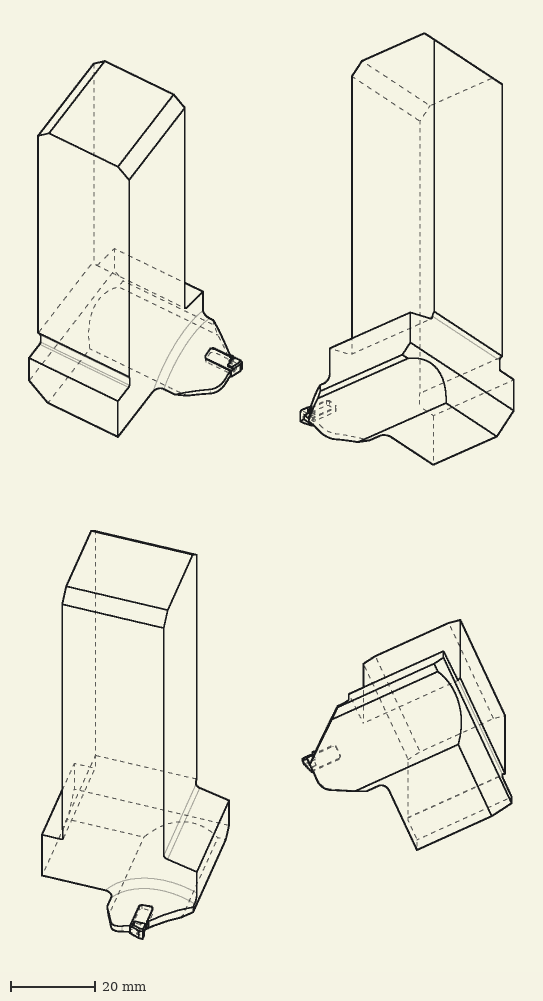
import cadquery as cq
import math


TOTAL_LENGTH = 41.4
TOTAL_WIDTH = 38.77
TOTAL_HEIGHT = 97.79

SHANK = 25.4
SHANK_BOTTOM = 17.8
END_CHAMFER = 3.1

BACK_LENGTH = 8.3
FRONT_LENGTH = TOTAL_WIDTH - SHANK - BACK_LENGTH
HEAD_BACK = SHANK + BACK_LENGTH
HEAD_FRONT = -FRONT_LENGTH
SIDE_STEP = 0.6
FRONT_STEP = 0.2
STEP_FILLET = 1.2
LEDGE_HEIGHT = 14.0
LEDGE_FILLET = 0.4
BACK_EDGE_HEIGHT = 13.7
BACK_SLOPE = 15
BACK_FILLET = 1.2
HEAD_CHAMFER = 5.2

RELIEF_RADIUS = 16.2
RELIEF_Y = 24.9
RELIEF_APEX = 4.2
BACK_CLEARANCE_HEIGHT = 2.75

BLADE_RADIUS = 16.4
BLADE_Y = 25.9
BLADE_APEX = 6.5
BLADE_LENGTH = 14.8
BLADE_FILLET = 1.75
BACK_BEVEL_START = 2.9
BACK_BEVEL_ANGLE = 40.3
FRONT_BEVEL_START = 4.87
FRONT_BEVEL_Y = 12.8
FRONT_BEVEL_ANGLE = 24.4
FRONT_CORNER_RADIUS = 3.7

INSERT_START = 7.5
INSERT_REACH = TOTAL_LENGTH - SHANK
INSERT_FRONT = 21.85
INSERT_BACK = 25.3
INSERT_TOP = 6.25
INSERT_BOTTOM = 5.0
INSERT_CORNER = 0.5
SHOULDER_START = 12.6
SHOULDER_LENGTH = 0.6
SHOULDER_OVERHANG = 0.5
CHIP_GAP_FRONT = 24.0
CHIP_GAP_DEPTH = 0.3
NOSE_START = 13.7
NOSE_TOP = 6.78
NOSE_FRONT_SETBACK = 0.7
TIP_BOTTOM = 3.8
TIP_FRONT_REACH = 15.1
TIP_LAND = 0.9
TIP_BEVEL = 0.4


def box(x, y, z):
    """Box from (low, high) pairs."""
    size = [high - low for low, high in (x, y, z)]
    return cq.Workplane().box(*size, centered=False).translate((x[0], y[0], z[0]))


def make_shank():
    """Square shank, bevelled on the two top edges that run along Y."""
    blank = box((0, SHANK), (0, SHANK), (SHANK_BOTTOM, TOTAL_HEIGHT))
    return blank.faces(">Z").edges("|Y").chamfer(END_CHAMFER)


def step_outline(plane, step):
    """Neck outline: shank width at the top, blending into a wall inset by `step`."""
    turn = math.acos(1 - step / STEP_FILLET)
    blend_height = STEP_FILLET * math.sin(turn)
    blend_middle = (step - STEP_FILLET * (1 - math.cos(turn / 2)),
                    SHANK_BOTTOM - blend_height + STEP_FILLET * math.sin(turn / 2))
    return (cq.Workplane(plane)
            .moveTo(0, SHANK_BOTTOM)
            .lineTo(SHANK, SHANK_BOTTOM)
            .lineTo(SHANK, LEDGE_HEIGHT)
            .lineTo(step, LEDGE_HEIGHT)
            .lineTo(step, SHANK_BOTTOM - blend_height)
            .threePointArc(blend_middle, (0, SHANK_BOTTOM))
            .close())


def make_neck():
    """Short block that carries the -X and -Y steps between shank and head."""
    side = step_outline("XZ", SIDE_STEP).extrude(-SHANK)
    front = step_outline("YZ", FRONT_STEP).extrude(SHANK)
    return side.intersect(front)


def make_head():
    """Head block below the neck, with overhangs in front of and behind the shank."""
    slope = math.radians(BACK_SLOPE)
    slope_top = BACK_EDGE_HEIGHT + BACK_LENGTH * math.tan(slope)
    blend_turn = math.pi / 2 - slope
    blend_length = BACK_FILLET * math.tan(blend_turn / 2)
    blend_end = (SHANK + blend_length * math.cos(slope), slope_top - blend_length * math.sin(slope))
    blend_center = (SHANK + BACK_FILLET, slope_top + blend_length)
    blend_middle = (blend_center[0] - BACK_FILLET * math.cos(blend_turn / 2),
                    blend_center[1] - BACK_FILLET * math.sin(blend_turn / 2))
    head = (cq.Workplane("YZ").workplane(offset=SIDE_STEP)
            .moveTo(HEAD_FRONT, 0)
            .lineTo(HEAD_FRONT, LEDGE_HEIGHT)
            .lineTo(FRONT_STEP - LEDGE_FILLET, LEDGE_HEIGHT)
            .radiusArc((FRONT_STEP, LEDGE_HEIGHT + LEDGE_FILLET), -LEDGE_FILLET)
            .lineTo(SHANK, LEDGE_HEIGHT + LEDGE_FILLET)
            .lineTo(SHANK, blend_center[1])
            .threePointArc(blend_middle, blend_end)
            .lineTo(HEAD_BACK, BACK_EDGE_HEIGHT)
            .lineTo(HEAD_BACK, 0)
            .close().extrude(SHANK - SIDE_STEP))
    return head.faces("<X").edges("<Z").chamfer(HEAD_CHAMFER)


def make_blade():
    """Curved blade: a disc about an X axis, flared at its root and bevelled in plan."""
    disc = (cq.Workplane("XY")
            .moveTo(0, 0)
            .lineTo(0, BLADE_RADIUS + BLADE_FILLET)
            .radiusArc((BLADE_FILLET, BLADE_RADIUS), -BLADE_FILLET)
            .lineTo(BLADE_LENGTH, BLADE_RADIUS)
            .lineTo(BLADE_LENGTH, 0)
            .close().revolve(360, (0, 0, 0), (1, 0, 0))
            .translate((SHANK, BLADE_Y, BLADE_APEX - BLADE_RADIUS)))
    end = SHANK + BLADE_LENGTH
    front_rise = (BLADE_LENGTH - FRONT_BEVEL_START) * math.tan(math.radians(FRONT_BEVEL_ANGLE))
    back_drop = (BLADE_LENGTH - BACK_BEVEL_START) * math.tan(math.radians(BACK_BEVEL_ANGLE))
    front_corner = (end, FRONT_BEVEL_Y + front_rise)
    plan = (cq.Workplane("XY")
            .moveTo(SHANK, HEAD_FRONT)
            .lineTo(SHANK + FRONT_BEVEL_START, HEAD_FRONT)
            .lineTo(SHANK + FRONT_BEVEL_START, FRONT_BEVEL_Y)
            .lineTo(*front_corner)
            .lineTo(end, HEAD_BACK - back_drop)
            .lineTo(SHANK + BACK_BEVEL_START, HEAD_BACK)
            .lineTo(SHANK, HEAD_BACK)
            .close().extrude(LEDGE_HEIGHT))
    corner_edge = cq.selectors.NearestToPointSelector((*front_corner, LEDGE_HEIGHT / 2))
    plan = plan.edges(corner_edge).fillet(FRONT_CORNER_RADIUS)
    return disc.intersect(plan)


def make_relief():
    """Cutter for the concave underside that runs along X."""
    length = SHANK + BLADE_LENGTH
    round_relief = (cq.Workplane("YZ")
                    .center(RELIEF_Y, RELIEF_APEX - RELIEF_RADIUS)
                    .circle(RELIEF_RADIUS).extrude(length))
    back_clearance = box((0, length), (RELIEF_Y, HEAD_BACK), (0, BACK_CLEARANCE_HEIGHT))
    return round_relief.union(back_clearance)


def make_insert_bar(top):
    """Flat bar of the insert with its widened shoulder, up to the given height."""
    bar = box((INSERT_START, BLADE_LENGTH), (INSERT_FRONT, INSERT_BACK), (INSERT_BOTTOM, top))
    bar = bar.edges("|Z and <X").chamfer(INSERT_CORNER)
    shoulder = box((SHOULDER_START, SHOULDER_START + SHOULDER_LENGTH),
                   (INSERT_FRONT, INSERT_BACK + SHOULDER_OVERHANG), (INSERT_BOTTOM, top))
    return bar.union(shoulder).translate((SHANK, 0, 0))


def tip_block(start, bottom, top):
    """Block with the tapered plan of the cutting tip, from `start` out to the cutting edge."""
    return (cq.Workplane("XY").workplane(offset=bottom)
            .moveTo(start, INSERT_FRONT)
            .lineTo(TIP_FRONT_REACH, INSERT_FRONT)
            .lineTo(INSERT_REACH, INSERT_BACK - TIP_LAND)
            .lineTo(INSERT_REACH, INSERT_BACK)
            .lineTo(start, INSERT_BACK)
            .close().extrude(top - bottom))


def make_insert_tip():
    """Raised nose, bevelled along its end, over the deep tip beyond the blade end."""
    nose = tip_block(NOSE_START, INSERT_TOP, NOSE_TOP)
    nose = nose.faces(">Z").edges("(not |X) and (not <X)").chamfer(TIP_BEVEL)
    setback = box((NOSE_START, INSERT_REACH), (INSERT_FRONT, INSERT_FRONT + NOSE_FRONT_SETBACK),
                  (INSERT_TOP, NOSE_TOP))
    tip = tip_block(BLADE_LENGTH, TIP_BOTTOM, INSERT_TOP)
    return nose.cut(setback).union(tip).translate((SHANK, 0, 0))


def make_chip_gap():
    """Cutter for the shallow gap between shoulder and nose."""
    gap = box((SHOULDER_START + SHOULDER_LENGTH, NOSE_START), (CHIP_GAP_FRONT, INSERT_BACK),
              (INSERT_TOP - CHIP_GAP_DEPTH, INSERT_TOP))
    return gap.translate((SHANK, 0, 0))


insert = make_insert_bar(INSERT_TOP).union(make_insert_tip()).cut(make_chip_gap())

insert_seat = make_insert_bar(LEDGE_HEIGHT)
holder = make_shank().union(make_neck()).union(make_head()).union(make_blade())
holder = holder.cut(make_relief()).cut(insert_seat)

result = cq.Compound.makeCompound([holder.val(), insert.val()])